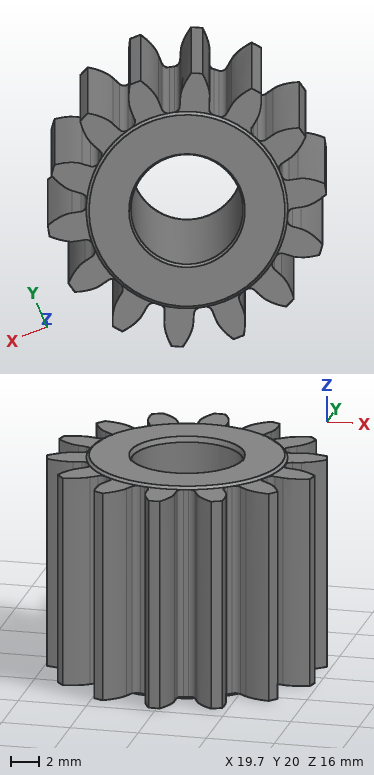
import cadquery as cq
import math

tooth_count = 14
tip_radius = 10.0
module = 2 * tip_radius / (tooth_count + 2)
pitch_radius = module * tooth_count / 2
dedendum_factor = 1.25
root_radius = pitch_radius - dedendum_factor * module
pressure_angle = math.radians(20)
base_radius = pitch_radius * math.cos(pressure_angle)
tooth_pitch = 360 / tooth_count
root_fillet = 0.48
foot_overlap = 0.4
flank_point_count = 6

overall_height = 16.0
hub_step = 0.2
gear_height = overall_height - 2 * hub_step
gear_plane = cq.Workplane("XY", origin=(0, 0, -gear_height / 2))

hub_radius = root_radius
hub_chamfer = hub_step
bore_radius = 4.0
bore_chamfer_width = 0.15
bore_chamfer_depth = 0.4


def involute(angle):
    """Involute function of a pressure angle in radians."""
    return math.tan(angle) - angle


base_half_angle = math.pi / (2 * tooth_count) + involute(pressure_angle)


def right_flank():
    """Involute points, base circle to tip, of the tooth pointing along +Y."""
    points = []
    for i in range(flank_point_count):
        radius = base_radius + (tip_radius - base_radius) * i / (flank_point_count - 1)
        half_angle = base_half_angle - involute(math.acos(base_radius / radius))
        points.append((radius * math.sin(half_angle), radius * math.cos(half_angle)))
    return points


def make_tooth():
    """One tooth along +Y, with parallel flanks below the base circle."""
    right = right_flank()
    left = [(-x, y) for x, y in reversed(right)]
    foot_half_width = right[0][0]
    foot_depth = root_radius - foot_overlap
    return (
        gear_plane
        .moveTo(-foot_half_width, foot_depth)
        .lineTo(foot_half_width, foot_depth)
        .lineTo(*right[0])
        .spline(right[1:], includeCurrent=True)
        .threePointArc((0, tip_radius), left[0])
        .spline(left[1:], includeCurrent=True)
        .close()
        .extrude(gear_height)
    )


def is_root_corner(edge):
    """True for the edges where the flanks meet the root circle."""
    center = edge.Center()
    return math.hypot(center.x, center.y) < (root_radius + base_radius) / 2


def make_gear():
    """Root cylinder with all teeth, rounded where they meet it."""
    gear = gear_plane.circle(root_radius).extrude(gear_height)
    tooth = make_tooth()
    for i in range(tooth_count):
        gear = gear.union(tooth.rotate((0, 0, 0), (0, 0, 1), i * tooth_pitch))
    return gear.edges("|Z").filter(is_root_corner).fillet(root_fillet)


def make_hub():
    """Hub standing proud of both gear faces, with chamfered rims."""
    return (
        cq.Workplane("XY", origin=(0, 0, -overall_height / 2))
        .circle(hub_radius)
        .extrude(overall_height)
        .faces("<Z or >Z")
        .chamfer(hub_chamfer)
    )


def make_bore():
    """Through bore, opened by a steep chamfer at both ends."""
    half_height = overall_height / 2
    mouth_radius = bore_radius + bore_chamfer_width
    return (
        cq.Workplane("XZ")
        .moveTo(0, -half_height)
        .lineTo(mouth_radius, -half_height)
        .lineTo(bore_radius, bore_chamfer_depth - half_height)
        .lineTo(bore_radius, half_height - bore_chamfer_depth)
        .lineTo(mouth_radius, half_height)
        .lineTo(0, half_height)
        .close()
        .revolve(360, (0, 0), (0, 1))
    )


result = make_gear().union(make_hub()).cut(make_bore())